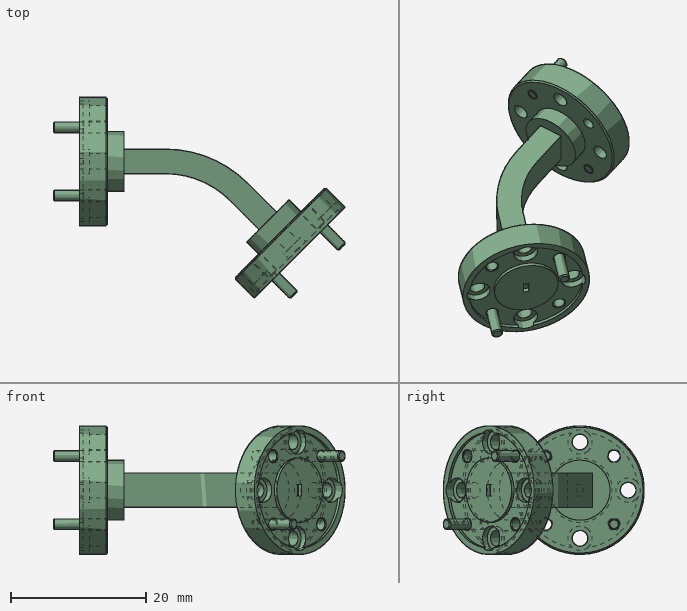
import cadquery as cq
import math

overall_length = 43.15

flange_dia = 19.05
flange_thickness = 4.15
back_chamfer = 0.2

boss_dia = 8.9
boss_length = 2.5

recess_inner_dia = 9.55
recess_outer_dia = 17.15
recess_depth = 0.5

bolt_circle_radius = 7.1
screw_hole_dia = 2.3
counterbore_dia = 3.6
counterbore_depth = 1.5
open_dowel_hole_dia = 1.73
dowel_hole_chamfer = 0.15

pin_dia = 1.6
pin_projection = 3.85
pin_chamfer = 0.17

tube_width = 3.65
tube_height = 5.1
port_width = 0.8
port_height = 1.73
port_depth = 0.65
straight_length = 6.1
bend_angle = 45.0

bend = math.radians(bend_angle)
tube_start = pin_projection + flange_thickness + boss_length
bend_start = tube_start + straight_length
outlet_run = straight_length + boss_length + flange_thickness

outlet_x = overall_length - flange_dia / 2 * math.sin(bend)
bend_end_x = outlet_x - outlet_run * math.cos(bend)
bend_radius = (bend_end_x - bend_start) / math.sin(bend)
bend_end_y = -bend_radius * (1 - math.cos(bend))
outlet_y = bend_end_y - outlet_run * math.sin(bend)

inlet_face = cq.Plane(origin=(pin_projection, 0, 0), xDir=(0, -1, 0), normal=(-1, 0, 0))
outlet_face = cq.Plane(
    origin=(outlet_x, outlet_y, 0),
    xDir=(math.sin(bend), math.cos(bend), 0),
    normal=(math.cos(bend), -math.sin(bend), 0),
)
faces = [inlet_face, outlet_face]


def on_bolt_circle(angle):
    """Point on the bolt circle at an angle in degrees."""
    turn = math.radians(angle)
    return (bolt_circle_radius * math.cos(turn), bolt_circle_radius * math.sin(turn))


screw_points = [on_bolt_circle(angle) for angle in (0, 90, 180, 270)]
pin_points = [on_bolt_circle(angle) for angle in (45, 225)]
open_dowel_points = [on_bolt_circle(angle) for angle in (135, 315)]


def make_tube():
    """Tube swept along a straight, the bend and a second straight, between the two bosses."""
    tube_end_x = bend_end_x + straight_length * math.cos(bend)
    tube_end_y = bend_end_y - straight_length * math.sin(bend)
    mid_bend = (
        bend_start + bend_radius * math.sin(bend / 2),
        -bend_radius * (1 - math.cos(bend / 2)),
    )
    path = (
        cq.Workplane("XY")
        .moveTo(tube_start, 0)
        .lineTo(bend_start, 0)
        .threePointArc(mid_bend, (bend_end_x, bend_end_y))
        .lineTo(tube_end_x, tube_end_y)
    )
    section = cq.Workplane("YZ", origin=(tube_start, 0, 0)).rect(tube_width, tube_height)
    return section.sweep(path)


def make_flange(face):
    """Flange disc with a chamfered back rim, and the boss behind it."""
    disc = (
        cq.Workplane(face)
        .circle(flange_dia / 2)
        .extrude(-flange_thickness)
        .faces(cq.selectors.DirectionMinMaxSelector(face.zDir, directionMax=False))
        .edges()
        .chamfer(back_chamfer)
    )
    boss = (
        cq.Workplane(face)
        .workplane(offset=-flange_thickness)
        .circle(boss_dia / 2)
        .extrude(-boss_length)
    )
    return disc.union(boss)


def face_recess(face):
    """Ring to cut around the raised centre of a mating face."""
    ring = cq.Workplane(face).circle(recess_outer_dia / 2).circle(recess_inner_dia / 2)
    return ring.extrude(-recess_depth)


def drill(face, points, diameter, depth):
    """Cylinders to cut inward from a mating face."""
    return cq.Workplane(face).pushPoints(points).circle(diameter / 2).extrude(-depth)


def hole_mouths(face, points, hole_dia):
    """Cones that chamfer dowel holes at the floor of the recess."""
    mouth_radius = hole_dia / 2 + dowel_hole_chamfer
    mouth = cq.Solid.makeCone(
        mouth_radius,
        hole_dia / 2,
        dowel_hole_chamfer,
        pnt=cq.Vector(0, 0, -recess_depth),
        dir=cq.Vector(0, 0, -1),
    )
    return cq.Workplane(face).pushPoints(points).eachpoint(mouth, useLocalCoordinates=True)


def port(face):
    """Shallow rectangular port at the centre of a mating face."""
    return cq.Workplane(face).rect(port_width, port_height).extrude(-port_depth)


def make_waveguide():
    """Bent tube with a flange on each end, as one solid."""
    body = make_tube()
    for face in faces:
        body = body.union(make_flange(face))
    for face in faces:
        body = body.cut(face_recess(face))
        body = body.cut(drill(face, screw_points, screw_hole_dia, flange_thickness))
        body = body.cut(drill(face, screw_points, counterbore_dia, counterbore_depth))
        body = body.cut(drill(face, open_dowel_points, open_dowel_hole_dia, flange_thickness))
        body = body.cut(hole_mouths(face, open_dowel_points, open_dowel_hole_dia))
        body = body.cut(drill(face, pin_points, pin_dia, flange_thickness))
        body = body.cut(hole_mouths(face, pin_points, pin_dia))
        body = body.cut(port(face))
    return body


def make_pin(face, point):
    """Dowel pin with both ends chamfered, through the flange and out of its mating face."""
    return (
        cq.Workplane(face)
        .workplane(offset=pin_projection)
        .center(*point)
        .circle(pin_dia / 2)
        .extrude(-(pin_projection + flange_thickness))
        .edges("%CIRCLE")
        .chamfer(pin_chamfer)
    )


waveguide = make_waveguide()
pins = [make_pin(face, point) for face in faces for point in pin_points]

result = cq.Compound.makeCompound([waveguide.val(), *[pin.val() for pin in pins]])